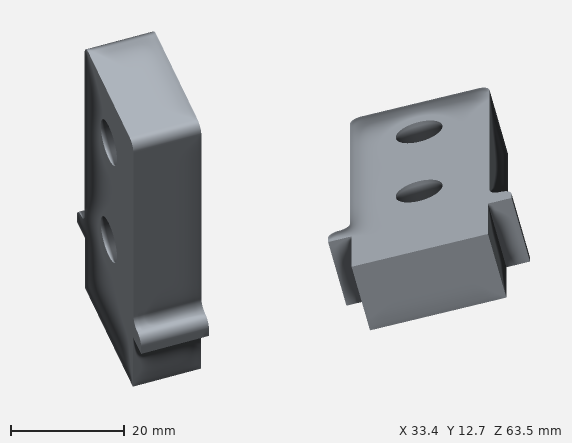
import cadquery as cq

height = 63.5
thickness = 12.7
flange_width = 33.4

body_width = 25.4
foot_width = 24.8
foot_height = 13.0

flange_thickness = 3.75
flange_radius = (flange_width - body_width) / 4
top_corner_radius = 2.05

hole_diameter = 8.5
hole_offset = -0.1
lower_hole_height = 25.5
hole_spacing = 25.4


def block(width, bottom, top):
    """Box centred on X and Y, spanning the given heights."""
    return (
        cq.Workplane("XY", origin=(0, 0, bottom))
        .rect(width, thickness)
        .extrude(top - bottom)
    )


flange_top = foot_height + flange_thickness

foot = block(foot_width, 0, foot_height)

flange = (
    block(flange_width, foot_height, flange_top)
    .edges("|Y and >Z")
    .fillet(flange_radius)
)

body = (
    block(body_width, foot_height, height)
    .edges("|Y and >Z")
    .fillet(top_corner_radius)
)


def root_fillet(side):
    """Concave fillet between the flange top and the body; side is -1 or 1."""
    wall = side * body_width / 2
    outer = wall + side * flange_radius
    upper = flange_top + flange_radius
    arc_offset = flange_radius / 2**0.5
    return (
        cq.Workplane("XZ")
        .moveTo(wall, flange_top)
        .lineTo(outer, flange_top)
        .threePointArc((outer - side * arc_offset, upper - arc_offset), (wall, upper))
        .close()
        .extrude(thickness / 2, both=True)
    )


holes = (
    cq.Workplane("XZ")
    .pushPoints([(hole_offset, z) for z in (lower_hole_height, lower_hole_height + hole_spacing)])
    .circle(hole_diameter / 2)
    .extrude(thickness / 2, both=True)
)

result = foot.union(flange).union(body)
for side in (-1, 1):
    result = result.union(root_fillet(side))
result = result.cut(holes)